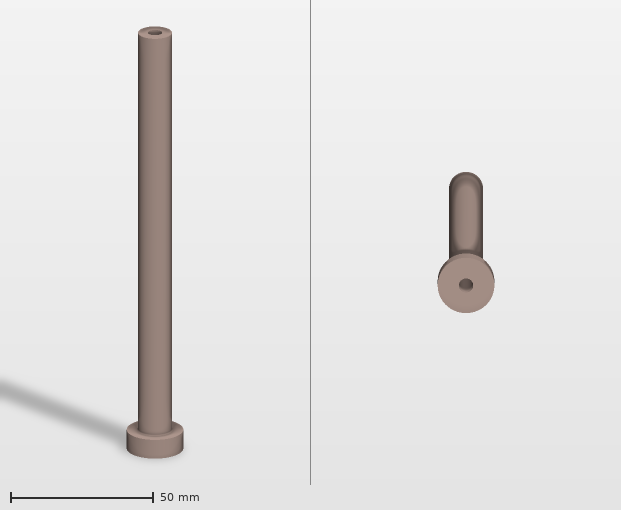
import cadquery as cq

total_length = 157.0
head_diameter = 20.0
head_height = 7.0
shaft_diameter = 12.0
bore_diameter = 5.0
neck_fillet = 0.5

head = cq.Workplane("XY").circle(head_diameter / 2).extrude(head_height)

shaft = cq.Workplane("XY").circle(shaft_diameter / 2).extrude(total_length)
body = head.union(shaft)

neck_edge = cq.selectors.RadiusNthSelector(0)
head_top = cq.selectors.NearestToPointSelector((0, 0, head_height))
body = body.faces(head_top).edges(neck_edge).fillet(neck_fillet)

bore = cq.Workplane("XY").circle(bore_diameter / 2).extrude(total_length)
result = body.cut(bore)